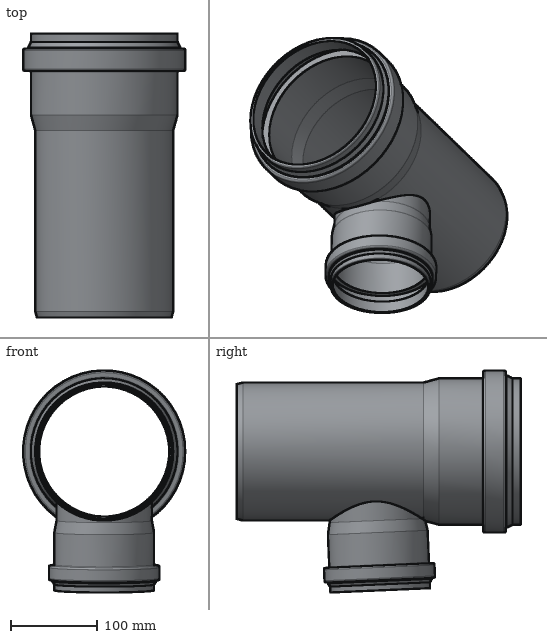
import cadquery as cq

LENGTH = 329.0
PIPE_OUTER_D = 160.0
PIPE_BORE_D = 150.5
SPIGOT_BEVEL_LENGTH = 7.2
SPIGOT_BEVEL_DEPTH = 2.0

BRANCH_TILT = 2.5
BRANCH_Y = 159.2
BRANCH_LENGTH = 161.0
NECK_OUTER_D = 110.5
NECK_BORE_D = 103.3

RUN_SOCKET = {
    "outer_d": 169.8,
    "ring_d": 188.0,
    "wall": 4.5,
    "lip_end": 10.0,
    "flare_end": 16.5,
    "flare_height": 3.3,
    "ring_start": 17.5,
    "ring_end": 43.8,
    "ring_round": 2.5,
    "root_round": 1.3,
    "mouth_round": 1.3,
    "taper_start": 94.8,
    "taper_end": 112.5,
}
BRANCH_SOCKET = {
    "outer_d": 115.8,
    "ring_d": 128.3,
    "wall": 2.5,
    "lip_end": 7.0,
    "flare_end": 11.0,
    "flare_height": 2.3,
    "ring_start": 12.0,
    "ring_end": 29.0,
    "ring_round": 2.3,
    "root_round": 1.0,
    "mouth_round": 0.5,
    "taper_start": 67.0,
    "taper_end": 81.0,
}


def revolve_tube(profile):
    """Revolve a (radius, height) half profile about the Z axis."""
    return profile.close().revolve(360, (0, 0, 0), (0, 1, 0))


def socket_outside(socket, mouth, pipe_r, bevel_depth=0, bevel_length=0):
    """Solid envelope along +Z, from the pipe end at zero to the socket mouth."""
    outer_r = socket["outer_d"] / 2
    ring_r = socket["ring_d"] / 2
    ring_round = socket["ring_round"]
    root_round = socket["root_round"]
    mouth_round = socket["mouth_round"]
    flare_r = outer_r + socket["flare_height"]
    ring_bottom = mouth - socket["ring_end"]
    ring_top = mouth - socket["ring_start"]
    profile = cq.Workplane("XZ").lineTo(pipe_r - bevel_depth, 0)
    if bevel_length:
        profile = profile.lineTo(pipe_r, bevel_length)
    profile = (
        profile
        .lineTo(pipe_r, mouth - socket["taper_end"])
        .lineTo(outer_r, mouth - socket["taper_start"])
        .lineTo(outer_r, ring_bottom - root_round)
        .radiusArc((outer_r + root_round, ring_bottom), root_round)
        .lineTo(ring_r - ring_round, ring_bottom)
        .radiusArc((ring_r, ring_bottom + ring_round), -ring_round)
        .lineTo(ring_r, ring_top - ring_round)
        .radiusArc((ring_r - ring_round, ring_top), -ring_round)
        .lineTo(flare_r, ring_top)
        .lineTo(flare_r, mouth - socket["flare_end"])
        .lineTo(outer_r, mouth - socket["lip_end"])
        .lineTo(outer_r, mouth - mouth_round)
        .radiusArc((outer_r - mouth_round, mouth), -mouth_round)
        .lineTo(0, mouth)
    )
    return revolve_tube(profile)


def socket_inside(socket, mouth, bore_r):
    """Bore along +Z with the wider socket and its seal groove."""
    wall = socket["wall"]
    socket_r = socket["outer_d"] / 2 - wall
    groove_r = socket["ring_d"] / 2 - wall
    profile = (
        cq.Workplane("XZ")
        .lineTo(bore_r, 0)
        .lineTo(bore_r, mouth - socket["taper_end"])
        .lineTo(socket_r, mouth - socket["taper_start"])
        .lineTo(socket_r, mouth - socket["ring_end"] + wall)
        .lineTo(groove_r, mouth - socket["ring_end"] + wall)
        .lineTo(groove_r, mouth - socket["ring_start"] - wall)
        .lineTo(socket_r, mouth - socket["ring_start"] - wall)
        .lineTo(socket_r, mouth)
        .lineTo(0, mouth)
    )
    return revolve_tube(profile)


def place_run(shape):
    """Turn a Z-axis shape onto the Y axis."""
    return shape.rotate((0, 0, 0), (1, 0, 0), -90)


def place_branch(shape):
    """Turn a Z-axis shape downward, lean it and move it to the branch."""
    return shape.rotate((0, 0, 0), (1, 0, 0), 180 + BRANCH_TILT).translate((0, BRANCH_Y, 0))


run_outside = place_run(socket_outside(
    RUN_SOCKET, LENGTH, PIPE_OUTER_D / 2, SPIGOT_BEVEL_DEPTH, SPIGOT_BEVEL_LENGTH))
run_inside = place_run(socket_inside(RUN_SOCKET, LENGTH, PIPE_BORE_D / 2))
branch_outside = place_branch(socket_outside(BRANCH_SOCKET, BRANCH_LENGTH, NECK_OUTER_D / 2))
branch_inside = place_branch(socket_inside(BRANCH_SOCKET, BRANCH_LENGTH, NECK_BORE_D / 2))

result = run_outside.union(branch_outside).cut(run_inside).cut(branch_inside)